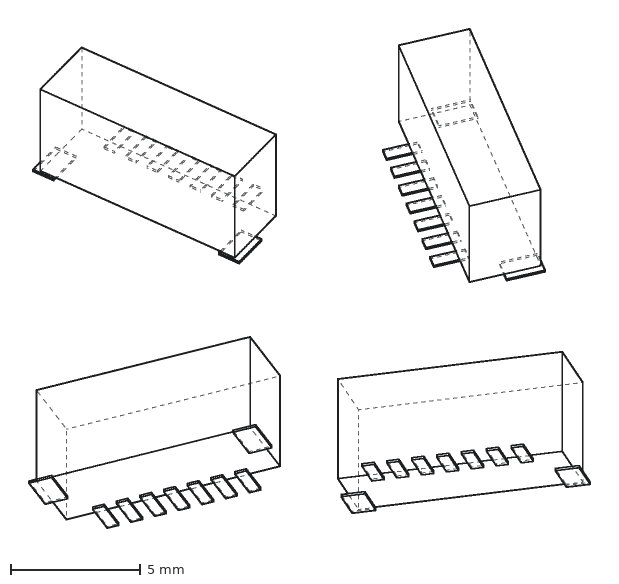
import cadquery as cq

total_length = 9.56
total_depth = 4.02
total_height = 4.35

foot_thickness = 0.1

housing_length = 9.015
housing_depth = 2.89
housing_height = total_height - foot_thickness

lead_count = 7
lead_row_span = 5.99
lead_pitch = lead_row_span / (lead_count - 1)
lead_width = 0.49
lead_length = 1.415
lead_overhang = 1.04

pad_width = 0.96
pad_length = 1.57

rear_end = housing_depth / 2 + lead_overhang
front_end = rear_end - total_depth


def make_housing():
    """Plain block standing on top of the feet."""
    return cq.Workplane("XY").workplane(offset=foot_thickness).box(
        housing_length, housing_depth, housing_height, centered=(True, True, False)
    )


def make_foot(width, length, center_x, center_y):
    """Flat rectangular strip resting on Z = 0."""
    return cq.Workplane("XY").center(center_x, center_y).box(
        width, length, foot_thickness, centered=(True, True, False)
    )


def make_lead(index):
    """One signal lead, counted from the -X end of the row."""
    center_x = (index - (lead_count - 1) / 2) * lead_pitch
    return make_foot(lead_width, lead_length, center_x, rear_end - lead_length / 2)


def make_mounting_pad(side):
    """Corner pad at the -X (side = -1) or +X (side = 1) end."""
    center_x = side * (total_length - pad_width) / 2
    return make_foot(pad_width, pad_length, center_x, front_end + pad_length / 2)


housing = make_housing()
leads = [make_lead(index) for index in range(lead_count)]
mounting_pads = [make_mounting_pad(side) for side in (-1, 1)]

result = cq.Compound.makeCompound([
    housing.val(),
    *[lead.val() for lead in leads],
    *[pad.val() for pad in mounting_pads],
])